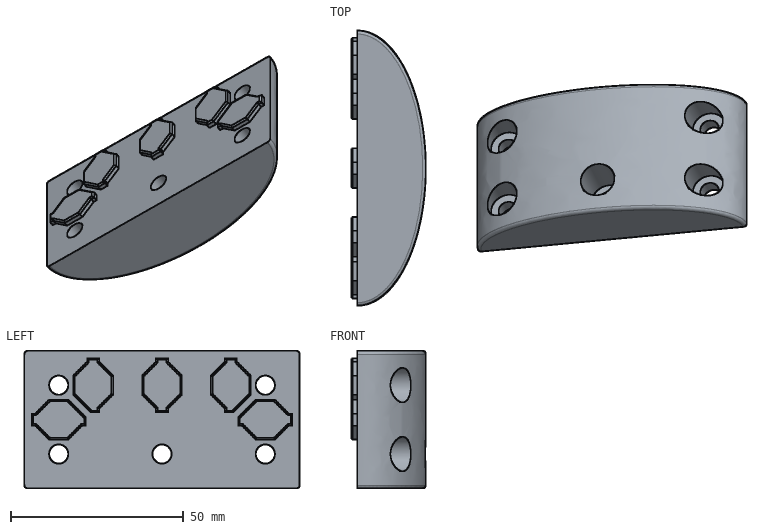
import cadquery as cq

body_length = 80.0
body_depth = 20.0
body_height = 40.0
body_edge_radius = 1.0

hole_diameter = 5.5
counterbore_diameter = 10.0
counterbore_floor = 5.0
hole_offset_y = 30.0
hole_offset_z = 10.0
hole_centers = [
    (-hole_offset_y, hole_offset_z),
    (hole_offset_y, hole_offset_z),
    (-hole_offset_y, -hole_offset_z),
    (0.0, -hole_offset_z),
    (hole_offset_y, -hole_offset_z),
]

key_width = 11.6
key_length = 15.75
key_flat = 5.5
tab_width = 3.5
key_height = 1.75
key_chamfer = 0.5
upright_key_offset_y = 20.0
upright_key_z = 10.0
sideways_key_offset_y = 30.0
sideways_turn = 90.0


def make_body():
    half_ellipse = (
        cq.Workplane("XY")
        .workplane(offset=-body_height / 2)
        .moveTo(0, -body_length / 2)
        .ellipseArc(body_depth, body_length / 2, -90, 90, startAtCurrent=True)
        .close()
        .extrude(body_height)
    )
    return half_ellipse.faces("|Z").edges("not(|Y)").fillet(body_edge_radius)


def make_cylinder(diameter, start_x, end_x):
    return (
        cq.Workplane("YZ")
        .workplane(offset=start_x)
        .pushPoints(hole_centers)
        .circle(diameter / 2)
        .extrude(end_x - start_x)
    )


def make_key(center_y, center_z, turn=0.0, trimmed_side=0):
    """Key standing on the back face, long side along Z before turning about X.

    trimmed_side (+1 for +Y, -1 for -Y) names the lower tab corner that is cut
    off in line with the 45 degree side, to clear the neighbouring key.
    """
    half_width = key_width / 2
    half_length = key_length / 2
    half_flat = key_flat / 2
    half_tab = tab_width / 2
    shoulder = half_flat + half_width - half_tab
    trimmed_tab = half_flat + half_width - half_length

    def lower_corner(side):
        if side == trimmed_side:
            return [(side * trimmed_tab, -half_length)]
        return [(side * half_tab, -shoulder), (side * half_tab, -half_length)]

    outline = [
        (half_tab, half_length),
        (half_tab, shoulder),
        (half_width, half_flat),
        (half_width, -half_flat),
        *lower_corner(1),
        *reversed(lower_corner(-1)),
        (-half_width, -half_flat),
        (-half_width, half_flat),
        (-half_tab, shoulder),
        (-half_tab, half_length),
    ]
    key = cq.Workplane("YZ").polyline(outline).close().extrude(-key_height)
    key = key.faces("<X").chamfer(key_chamfer)
    return key.rotate((0, 0, 0), (1, 0, 0), turn).translate((0, center_y, center_z))


result = make_body()
result = result.cut(make_cylinder(hole_diameter, 0, body_depth))
result = result.cut(make_cylinder(counterbore_diameter, counterbore_floor, body_depth))

result = result.union(make_key(0, upright_key_z))
for side in (-1, 1):
    upright_key = make_key(side * upright_key_offset_y, upright_key_z, trimmed_side=side)
    sideways_key = make_key(
        side * sideways_key_offset_y, 0, turn=-side * sideways_turn, trimmed_side=-side
    )
    result = result.union(upright_key).union(sideways_key)